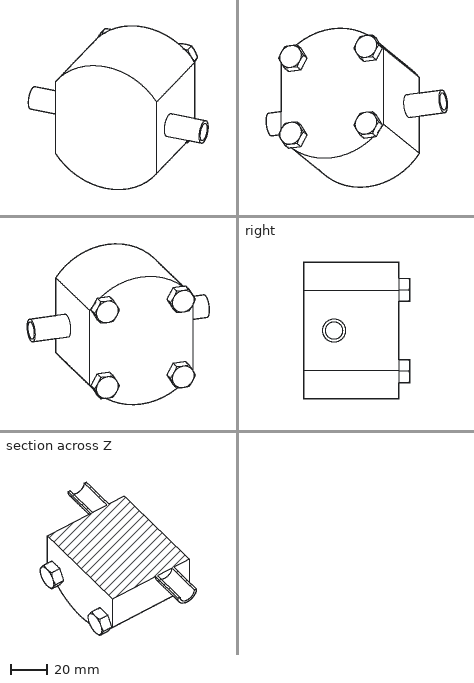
import cadquery as cq
import math

body_diameter = 75.6
width_over_flats = 61.2
front_depth = 33.8
back_depth = 19.0
body_depth = front_depth + back_depth

overall_length = 103.2
pipe_diameter = 12.8
bore_diameter = 9.6
pipe_from_front = front_depth / 2
bore_depth = (overall_length - width_over_flats) / 2

bolt_spacing = 45.0
head_across_flats = 12.8
head_across_corners = head_across_flats / math.cos(math.radians(30))
head_height = 6.1
head_chamfer_angle = 30.0


def make_body():
    """Round block along +Y from the front face at Y = 0, cut to two flats."""
    block = cq.Workplane("XZ").circle(body_diameter / 2).extrude(-body_depth)
    flats = cq.Workplane("XZ").rect(width_over_flats, body_diameter).extrude(-body_depth)
    return block.intersect(flats)


def make_bolt_head(x, z):
    """Hexagon with corners pointing along X and its outer corners turned off."""
    back_face = cq.Workplane("XZ", origin=(x, body_depth, z))
    head = back_face.polygon(6, head_across_corners).extrude(-head_height)
    corner_radius = head_across_corners / 2
    flat_radius = head_across_flats / 2
    chamfer_drop = (corner_radius - flat_radius) * math.tan(math.radians(head_chamfer_angle))
    envelope = (
        cq.Workplane("XY", origin=(x, body_depth, z))
        .lineTo(corner_radius, 0)
        .lineTo(corner_radius, head_height - chamfer_drop)
        .lineTo(flat_radius, head_height)
        .lineTo(0, head_height)
        .close()
        .revolve(360, (0, 0, 0), (0, 1, 0))
    )
    return head.intersect(envelope)


def make_pipe_bore(side):
    """Blind bore from a pipe end to the body flat; side is -1 or +1 along X."""
    pipe_end = cq.Workplane("YZ", origin=(side * overall_length / 2, pipe_from_front, 0))
    return pipe_end.circle(bore_diameter / 2).extrude(-side * bore_depth)


pipe = (
    cq.Workplane("YZ", origin=(-overall_length / 2, pipe_from_front, 0))
    .circle(pipe_diameter / 2)
    .extrude(overall_length)
)
result = make_body().union(pipe)

for x_side in (-1, 1):
    result = result.cut(make_pipe_bore(x_side))
    for z_side in (-1, 1):
        result = result.union(make_bolt_head(x_side * bolt_spacing / 2, z_side * bolt_spacing / 2))